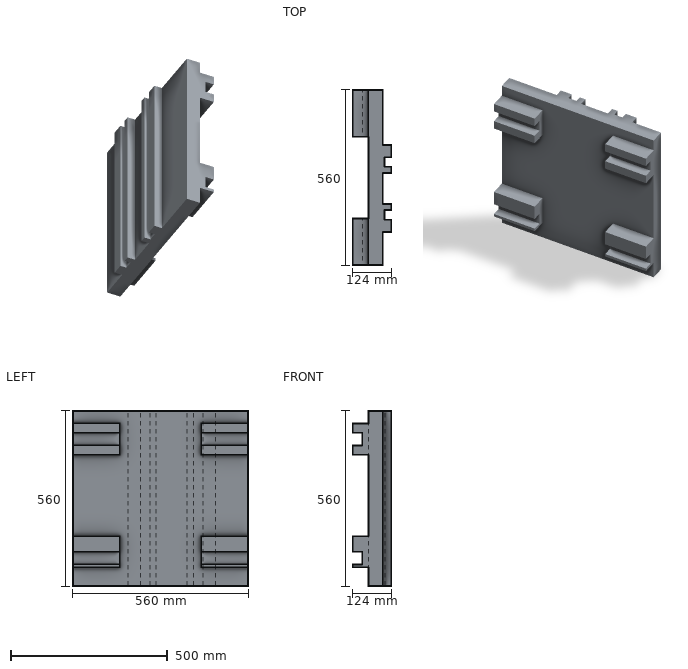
import cadquery as cq

plate_side = 560.0
plate_thickness = 47.0
half_side = plate_side / 2

block_height = 100.0
block_depth = 50.0
block_length = 150.0
block_groove_width = 40.0
block_groove_depth = 30.0
upper_block_top_margin = 40.0
upper_lip = (block_height - block_groove_width) / 2
lower_block_bottom_margin = 60.0
lower_lip = 10.0

rail_width = 90.0
rail_depth = 27.0
rail_wide_lip = 40.0
rail_groove_width = 30.0
rail_groove_depth = 21.0
front_rail_edge_margin = 106.0
back_rail_edge_margin = 175.0


def box_between(x_range, y_range, z_range):
    """Box given by its low and high limits along each axis."""
    sizes = [high - low for low, high in (x_range, y_range, z_range)]
    corner = (x_range[0], y_range[0], z_range[0])
    return cq.Workplane("XY").box(*sizes, centered=False).translate(corner)


def grooved_block(y_start, z_bottom, bottom_lip):
    """Block on the -X face with a groove along Y, bottom_lip above its underside."""
    y_range = (y_start, y_start + block_length)
    groove_bottom = z_bottom + bottom_lip
    block = box_between((-block_depth, 0), y_range, (z_bottom, z_bottom + block_height))
    groove = box_between(
        (-block_depth, block_groove_depth - block_depth),
        y_range,
        (groove_bottom, groove_bottom + block_groove_width),
    )
    return block.cut(groove)


def grooved_rail(y_start, first_lip):
    """Rail on the +X face with a groove along Z, first_lip from its -Y side."""
    z_range = (-half_side, half_side)
    outer_x = plate_thickness + rail_depth
    groove_start = y_start + first_lip
    rail = box_between((plate_thickness, outer_x), (y_start, y_start + rail_width), z_range)
    groove = box_between(
        (outer_x - rail_groove_depth, outer_x),
        (groove_start, groove_start + rail_groove_width),
        z_range,
    )
    return rail.cut(groove)


result = box_between((0, plate_thickness), (-half_side, half_side), (-half_side, half_side))

upper_block_bottom = half_side - upper_block_top_margin - block_height
lower_block_bottom = -half_side + lower_block_bottom_margin
for y_start in (-half_side, half_side - block_length):
    result = result.union(grooved_block(y_start, upper_block_bottom, upper_lip))
    result = result.union(grooved_block(y_start, lower_block_bottom, lower_lip))

rail_narrow_lip = rail_width - rail_wide_lip - rail_groove_width
back_rail_start = half_side - back_rail_edge_margin - rail_width
result = result.union(grooved_rail(-half_side + front_rail_edge_margin, rail_wide_lip))
result = result.union(grooved_rail(back_rail_start, rail_narrow_lip))